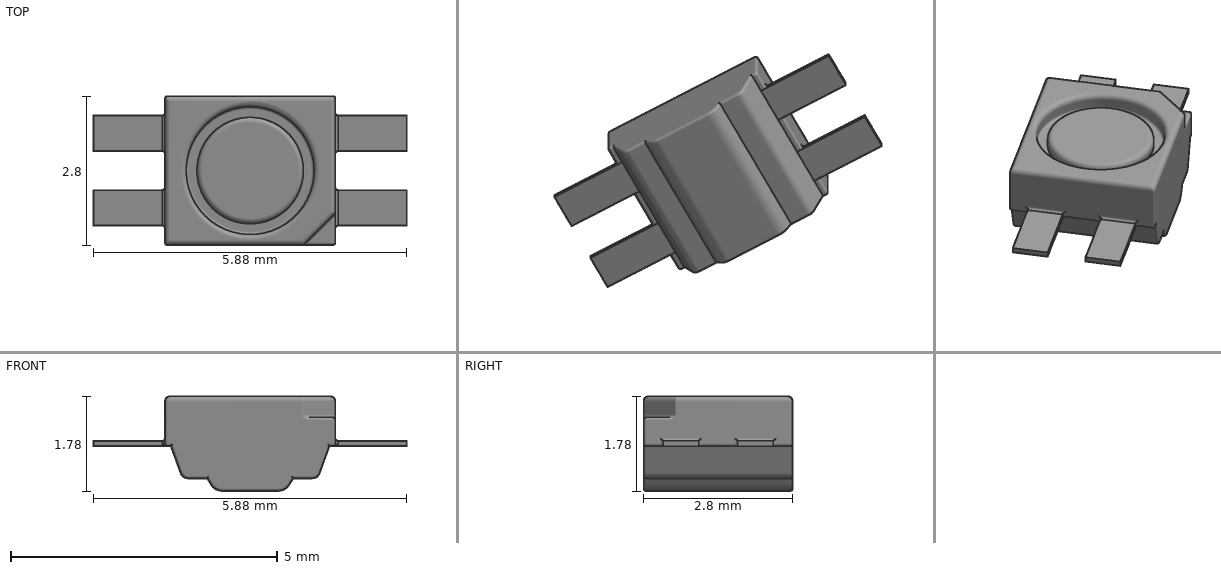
import cadquery as cq
import math

housing_length = 3.2
housing_width = 2.8
housing_height = 1.78
large_round = 0.1
small_round = 0.05

ledge_height = 0.84
ledge_half_length = 1.49
flank_angle = 70.0
flank_round = 0.15
shoulder_height = 0.235
foot_half_length = 0.805
foot_angle = 58.0
foot_round = 0.25

recess_diameter = 2.4
recess_depth = 0.3
boss_diameter = 2.0
boss_drop = 0.1

notch_leg = 0.6
notch_depth = 0.4

overall_length = 5.88
lead_width = 0.67
lead_thickness = 0.1
lead_offset = 0.7

half_length = housing_length / 2
half_width = housing_width / 2
notch_floor = housing_height - notch_depth
lead_top = ledge_height + lead_thickness
lead_length = overall_length / 2 - ledge_half_length
flank_base = ledge_half_length - (ledge_height - shoulder_height) / math.tan(math.radians(flank_angle))
foot_base = foot_half_length - shoulder_height / math.tan(math.radians(foot_angle))
arc_middle = math.sqrt(0.5)


def nearest_edge(body, point):
    """List holding the one edge whose centre is closest to a point."""
    return body.edges(cq.selectors.NearestToPointSelector(point)).vals()


def make_blank():
    """Housing side profile, extruded along Y, with the lower long corners rounded."""
    right_side = [
        (foot_base, 0),
        (foot_half_length, shoulder_height),
        (flank_base, shoulder_height),
        (ledge_half_length, ledge_height),
        (half_length, ledge_height),
        (half_length, housing_height),
    ]
    left_side = [(-x, z) for x, z in reversed(right_side)]
    blank = cq.Workplane("XZ").polyline(right_side + left_side).close().extrude(half_width, both=True)
    for corner_x, corner_z, radius in (
        (flank_base, shoulder_height, flank_round),
        (foot_base, 0, foot_round),
    ):
        for side in (-1, 1):
            corner = nearest_edge(blank, (side * corner_x, 0, corner_z))
            blank = blank.newObject(corner).fillet(radius)
    return blank


def cut_notch(body):
    """Cut the triangular notch into the top of the +X, -Y corner."""
    notch = (
        cq.Workplane("XY")
        .workplane(offset=notch_floor)
        .polyline([
            (half_length - notch_leg, -half_width),
            (half_length, -half_width),
            (half_length, notch_leg - half_width),
        ])
        .close()
        .extrude(notch_depth)
    )
    return body.cut(notch)


def round_edges(body):
    """Small rounds on the end faces, ledges and notch, then a large round along the top."""
    end_faces = body.faces("<Y or >Y").edges().vals()
    small_edges = [edge for edge in end_faces if edge.Center().z < housing_height - small_round]
    for side in (-1, 1):
        small_edges += nearest_edge(body, (side * half_length, 0, ledge_height))

    notch_middle = notch_leg / 2
    notch_edges = [
        (half_length, notch_middle - half_width, notch_floor),
        (half_length, notch_leg - half_width, housing_height - notch_depth / 2),
        (half_length - notch_middle, notch_middle - half_width, notch_floor),
    ]
    for point in notch_edges:
        small_edges += nearest_edge(body, point)

    body = body.newObject(small_edges).fillet(small_round)
    return body.edges(">Z").fillet(large_round)


def cut_recess(body):
    """Sink the rounded boss and the annular groove around it into the top face."""
    recess_radius = recess_diameter / 2
    boss_radius = boss_diameter / 2
    floor_z = housing_height - recess_depth
    boss_z = housing_height - boss_drop
    large_bulge = large_round * (1 - arc_middle)
    small_bulge = small_round * (1 - arc_middle)
    recess = (
        cq.Workplane("XZ")
        .moveTo(0, housing_height)
        .lineTo(0, boss_z)
        .lineTo(boss_radius - large_round, boss_z)
        .threePointArc(
            (boss_radius - large_bulge, boss_z - large_bulge),
            (boss_radius, boss_z - large_round),
        )
        .lineTo(boss_radius, floor_z)
        .lineTo(recess_radius - small_round, floor_z)
        .threePointArc(
            (recess_radius - small_bulge, floor_z + small_bulge),
            (recess_radius, floor_z + small_round),
        )
        .lineTo(recess_radius, housing_height - large_round)
        .threePointArc(
            (recess_radius + large_bulge, housing_height - large_bulge),
            (recess_radius + large_round, housing_height),
        )
        .close()
        .revolve(360, (0, 0, 0), (0, 1, 0))
    )
    return body.cut(recess)


def make_collar():
    """Collar around one lead at +X: concave fillets on the top and both sides of the lead."""
    collar_length = 2 * small_round
    collar_width = lead_width + 2 * small_round
    collar_height = lead_thickness + small_round
    collar = (
        cq.Workplane("XY")
        .workplane(offset=ledge_height)
        .center(half_length, 0)
        .rect(collar_length, collar_width)
        .extrude(collar_height)
    )
    top_cutter = (
        cq.Workplane("XZ")
        .center(half_length + small_round, lead_top + small_round)
        .circle(small_round)
        .extrude(collar_width, both=True)
    )
    collar = collar.cut(top_cutter)

    side_cutter = (
        cq.Workplane("XZ")
        .moveTo(0, 0)
        .lineTo(2 * small_round, 0)
        .threePointArc(
            ((2 - arc_middle) * small_round, (1 - arc_middle) * small_round),
            (small_round, small_round),
        )
        .lineTo(small_round, collar_height)
        .lineTo(0, collar_height)
        .close()
        .revolve(360, (0, 0, 0), (0, 1, 0))
    )
    for side in (-1, 1):
        cutter_y = side * (lead_width / 2 + small_round)
        collar = collar.cut(side_cutter.translate((half_length + small_round, cutter_y, ledge_height)))
    return collar


def make_lead():
    """Flat lead at +X, running outward from the inner edge of the ledge."""
    return (
        cq.Workplane("XY")
        .box(lead_length, lead_width, lead_thickness, centered=(False, True, False))
        .translate((ledge_half_length, 0, ledge_height))
    )


def at_lead_positions(shape):
    """Copies of a shape made at +X, moved to the four lead positions."""
    return [
        shape.rotate((0, 0, 0), (0, 0, 1), turn).translate((0, side * lead_offset, 0))
        for turn in (0, 180)
        for side in (-1, 1)
    ]


leads = at_lead_positions(make_lead())

housing = cut_recess(round_edges(cut_notch(make_blank())))
for collar in at_lead_positions(make_collar()):
    housing = housing.union(collar)
for lead in leads:
    housing = housing.cut(lead)

result = cq.Compound.makeCompound([housing.solids().val(), *[lead.val() for lead in leads]])